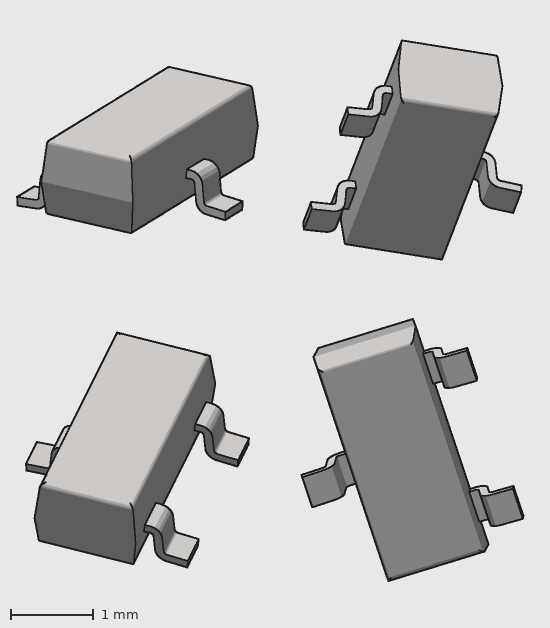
import cadquery as cq
import math

housing_width = 1.3
housing_length = 2.9
height_above_parting = 0.55
depth_below_parting = 0.447
draft_angle = 5.7
top_edge_radius = 0.072
bottom_edge_radius = 0.06

lead_span = 2.4
lead_width = 0.4
lead_thickness = 0.113
lead_pitch = 1.83
toe_depth = 0.548
foot_length = 0.265
inner_bend_radius = 0.05
leg_lean = math.radians(5.0)
foot_slope = math.radians(4.0)


def drafted_half(height, edge_radius):
    """Block rising from the parting plane, narrowed by the draft and rounded round its flat end."""
    block = cq.Workplane("XY").rect(housing_width, housing_length).extrude(height, taper=draft_angle)
    return block.faces(">Z").edges().fillet(edge_radius)


def make_housing():
    upper_half = drafted_half(height_above_parting, top_edge_radius)
    lower_half = drafted_half(depth_below_parting, bottom_edge_radius).mirror("XY")
    return upper_half.union(lower_half)


def make_lead(housing):
    """Lead on the +X side, centred on Y = 0 and ending flush on the drafted housing wall."""
    bend_radius = inner_bend_radius + lead_thickness / 2
    leg_angle = math.pi / 2 - leg_lean
    shoulder_z = -lead_thickness / 2

    toe_x = lead_span / 2 - lead_thickness / 2 * math.sin(foot_slope)
    toe_z = -toe_depth + lead_thickness / 2 * math.cos(foot_slope)
    heel_x = toe_x - foot_length * math.cos(foot_slope)
    heel_z = toe_z + foot_length * math.sin(foot_slope)
    leg_bottom_x = heel_x - bend_radius * (math.sin(leg_angle) - math.sin(foot_slope))
    leg_bottom_z = heel_z + bend_radius * (math.cos(foot_slope) - math.cos(leg_angle))
    leg_top_z = shoulder_z - bend_radius * (1 - math.cos(leg_angle))
    leg_top_x = leg_bottom_x - (leg_top_z - leg_bottom_z) * math.tan(leg_lean)
    shoulder_x = leg_top_x - bend_radius * math.sin(leg_angle)

    root_x = housing_width / 2 - lead_thickness
    centreline = (
        cq.Workplane("XZ")
        .moveTo(root_x, shoulder_z)
        .lineTo(shoulder_x, shoulder_z)
        .tangentArcPoint((leg_top_x, leg_top_z), relative=False)
        .lineTo(leg_bottom_x, leg_bottom_z)
        .tangentArcPoint((heel_x, heel_z), relative=False)
        .lineTo(toe_x, toe_z)
    )
    section = cq.Workplane("YZ", origin=(root_x, 0, shoulder_z)).rect(lead_width, lead_thickness)
    return section.sweep(centreline).cut(housing)


housing = make_housing()
lead = make_lead(housing)

leads = [lead.solids().val()]
mirrored_lead = lead.mirror("YZ")
for side in (-1, 1):
    leads.append(mirrored_lead.translate((0, side * lead_pitch / 2, 0)).solids().val())

result = cq.Compound.makeCompound([housing.solids().val(), *leads])